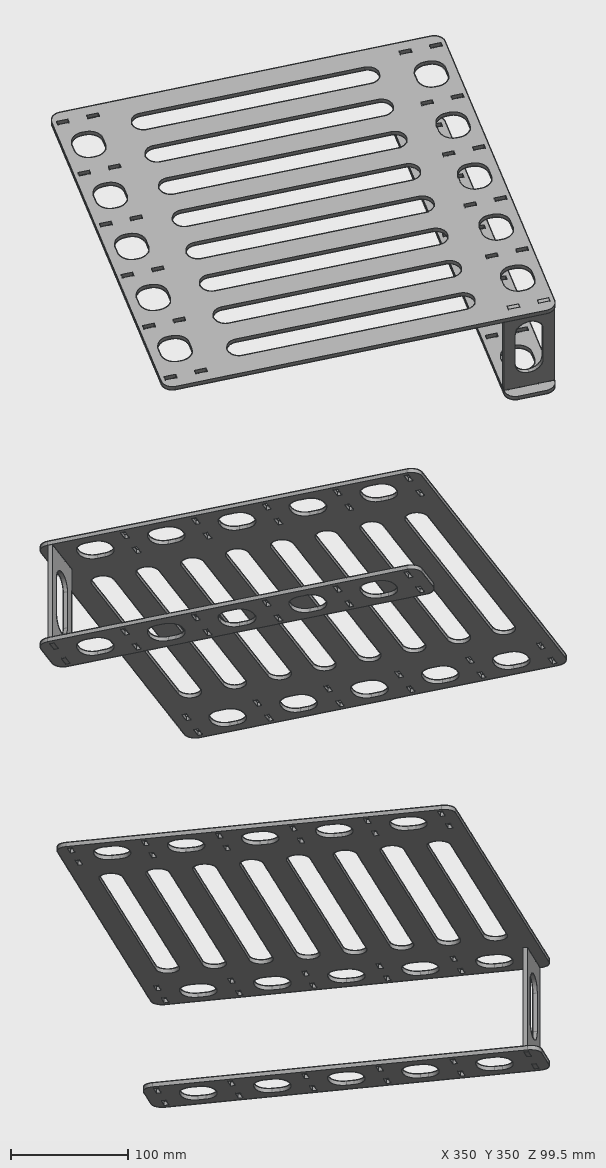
import cadquery as cq

plate_size = 350.0
overall_height = 99.5
clear_gap = 91.5
sheet_thickness = (overall_height - clear_gap) / 2
strip_width = 45.0
strip_end_flat = 25.2
corner_radius = (strip_width - strip_end_flat) / 2

vent_count = 8
vent_width = plate_size / (2 * vent_count + 1)
vent_pitch = 2 * vent_width
vent_length = 220.0

tab_slot_columns = 6
tab_slot_inset = 12.2
tab_slot_pitch = (plate_size - 2 * tab_slot_inset) / (tab_slot_columns - 1)
tab_slot_spacing = 27.0
tab_slot_length = 10.0
window_count = tab_slot_columns - 1
window_length = 31.5
window_width = 27.5
window_radius = 12.2

panel_window_width = 25.0
panel_window_height = 60.2

edge_row_y = (plate_size - strip_width) / 2
top_plate_base = overall_height - sheet_thickness
panel_x = plate_size / 2 - tab_slot_inset
mid_height = overall_height / 2


def rounded_block(length, width, height):
    """Block standing on Z = 0, centred in X and Y, with rounded upright edges."""
    return (
        cq.Workplane("XY")
        .box(length, width, height, centered=(True, True, False))
        .edges("|Z")
        .fillet(corner_radius)
    )


def cut_edge_row(sheet, row_y):
    """Cut one row of windows and paired tab slots along X, centred on row_y."""
    windows = (
        cq.Workplane("XY")
        .center(0, row_y)
        .rarray(tab_slot_pitch, 3.5, window_count, 1)
        .rect(window_length, window_width)
        .extrude(sheet_thickness)
        .edges("|Z")
        .fillet(window_radius)
    )
    tab_slots = (
        cq.Workplane("XY")
        .center(0, row_y)
        .rarray(tab_slot_pitch, tab_slot_spacing, tab_slot_columns, 2)
        .rect(sheet_thickness, tab_slot_length)
        .extrude(sheet_thickness)
    )
    return sheet.cut(windows).cut(tab_slots)


def make_top_plate():
    plate = rounded_block(plate_size, plate_size, sheet_thickness)
    vents = (
        cq.Workplane("XY")
        .rarray(vent_pitch, 3.5, vent_count, 1)
        .slot2D(vent_length, vent_width, angle=90)
        .extrude(sheet_thickness)
    )
    plate = plate.cut(vents)
    for row_y in (-edge_row_y, edge_row_y):
        plate = cut_edge_row(plate, row_y)
    return plate.translate((0, 0, top_plate_base))


def make_bottom_strip():
    strip = rounded_block(plate_size, strip_width, sheet_thickness)
    return cut_edge_row(strip, 0).translate((0, edge_row_y, 0))


def make_upright_panel():
    """Upright sheet whose tabs fill the end tab slots, flush with the outer faces."""
    panel = cq.Workplane("XY").box(sheet_thickness, strip_width, clear_gap)
    for side in (-1, 1):
        tab = cq.Workplane("XY").box(sheet_thickness, tab_slot_length, overall_height)
        panel = panel.union(tab.translate((0, side * tab_slot_spacing / 2, 0)))
    window = (
        cq.Workplane("YZ")
        .rect(panel_window_width, panel_window_height)
        .extrude(sheet_thickness / 2, both=True)
        .edges("|X")
        .fillet(window_radius)
    )
    return panel.cut(window).translate((panel_x, edge_row_y, mid_height))


top_plate = make_top_plate()
bottom_strip = make_bottom_strip()
upright_panel = make_upright_panel()

result = cq.Compound.makeCompound([top_plate.val(), bottom_strip.val(), upright_panel.val()])